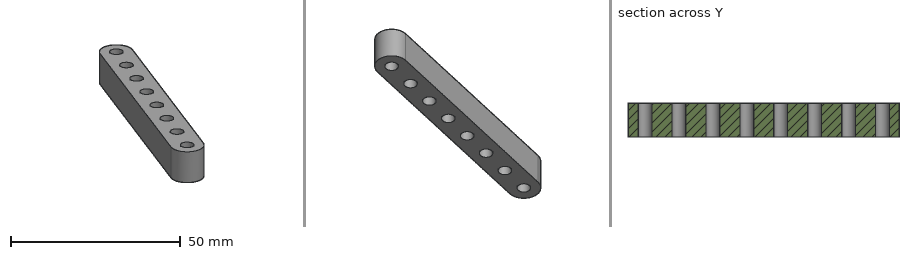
import cadquery as cq

hole_count = 8
hole_pitch = 10.0
hole_diameter = 4.0

length = hole_count * hole_pitch
width = hole_pitch
height = hole_pitch


def make_bar():
    """Straight bar with full-round ends, centred on the origin."""
    return cq.Workplane("XY").slot2D(length, width).extrude(height / 2, both=True)


def drill_holes(bar):
    """Row of vertical through holes along the centreline."""
    return (
        bar.faces(">Z")
        .workplane()
        .rarray(hole_pitch, hole_pitch, hole_count, 1)
        .hole(hole_diameter)
    )


result = drill_holes(make_bar())